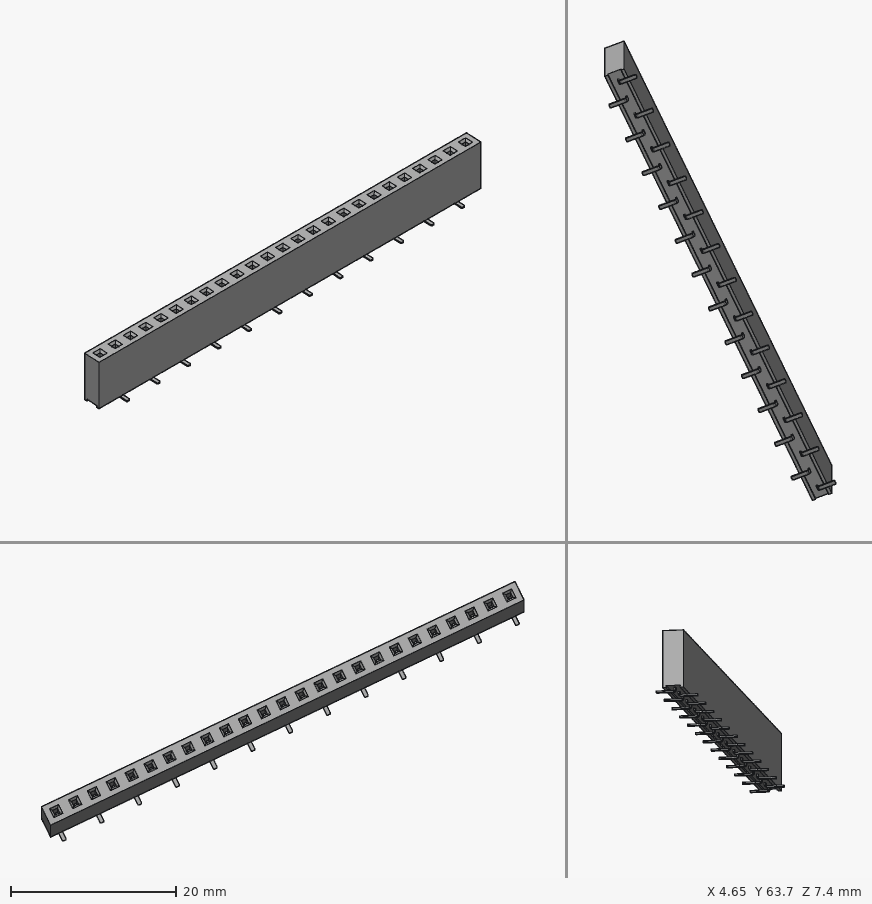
import cadquery as cq


length = 63.7
height = 7.4
housing_width = 2.55
standoff = 0.3
channel_width = 1.7
channel_depth = 0.25

contact_count = 25
end_allowance = 0.11
pitch = (length - 2 * end_allowance) / contact_count

socket_mouth = 1.2
socket_bore = 0.65
funnel_depth = 0.3
socket_depth = 2.55
slit_width = 0.095
slit_depth = 0.3

leg_span = 4.65
leg_width = 0.5
leg_thickness = 0.2
stem_embed = 0.1
tip_radius = 0.1
bend_radius = 0.4

contact_positions = [(i - (contact_count - 1) / 2) * pitch for i in range(contact_count)]


def make_housing():
    housing = (
        cq.Workplane("XY")
        .workplane(offset=standoff)
        .rect(housing_width, length)
        .extrude(height - standoff)
    )
    channel = (
        cq.Workplane("XY")
        .workplane(offset=standoff)
        .rect(channel_width, length)
        .extrude(channel_depth)
    )
    return housing.cut(channel)


def make_socket(y):
    """Square bore with a funnel-shaped mouth and a narrow slit in its floor."""
    funnel = (
        cq.Workplane("XY", origin=(0, y, height))
        .rect(socket_mouth, socket_mouth)
        .workplane(offset=-funnel_depth)
        .rect(socket_bore, socket_bore)
        .loft(ruled=True)
    )
    bore = (
        cq.Workplane("XY", origin=(0, y, height - socket_depth))
        .rect(socket_bore, socket_bore)
        .extrude(socket_depth)
    )
    slit = (
        cq.Workplane("XY", origin=(0, y, height - socket_depth - slit_depth))
        .rect(socket_bore, slit_width)
        .extrude(slit_depth)
    )
    return funnel.union(bore).union(slit)


def make_leg(y, side):
    """Vertical stem, bent into a foot that points to the given side (-1 or +1) along X."""
    back = -leg_thickness / 2
    front = leg_thickness / 2
    tip = leg_span / 2
    stem_top = standoff + channel_depth + stem_embed
    profile = (
        cq.Workplane("XZ", origin=(0, y + leg_width / 2, 0))
        .moveTo(back, stem_top)
        .lineTo(back, bend_radius)
        .radiusArc((back + bend_radius, 0), -bend_radius)
        .lineTo(tip, 0)
        .lineTo(tip, leg_thickness)
        .lineTo(front, leg_thickness)
        .lineTo(front, stem_top)
        .close()
    )
    leg = profile.extrude(leg_width)
    leg = leg.faces(">X").edges("|Z").fillet(tip_radius)
    return leg if side > 0 else leg.mirror("YZ")


result = make_housing()
for index, y in enumerate(contact_positions):
    side = -1 if index % 2 == 0 else 1
    result = result.cut(make_socket(y))
    result = result.union(make_leg(y, side))